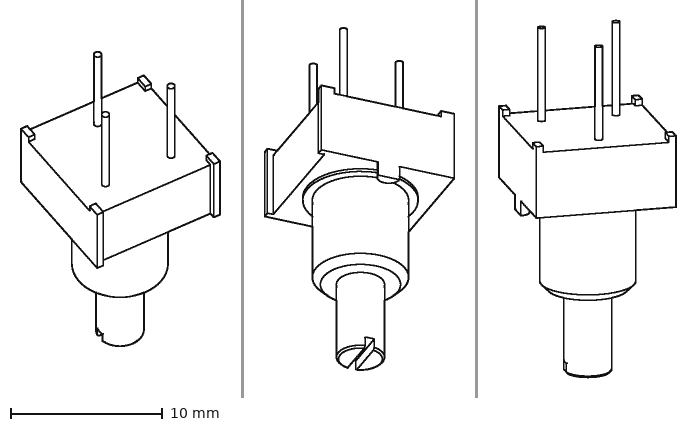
import cadquery as cq

total_height = 23.18

housing_width = 9.53
housing_offset_x = 0.07
housing_bottom = 12.29
housing_floor = 16.78
recess_depth = 0.42

standoff_length = 0.95
standoff_width = 0.49
standoff_height = 0.42

pin_diameter = 0.5
pin_pitch = 5.08
single_pin_x = -2.78

flange_diameter = 7.6
flange_thickness = 0.2
bushing_diameter = 6.35
bushing_bottom = 5.68
bushing_chamfer = 0.53

shaft_diameter = bushing_diameter / 2
shaft_chamfer = 0.15
slot_width = 0.65
slot_depth = 0.76

key_depth = 0.76
key_height = 1.0

housing_half = housing_width / 2
housing_right = housing_offset_x + housing_half


def make_housing():
    height = housing_floor - housing_bottom
    block = (
        cq.Workplane("XY", origin=(housing_offset_x, 0, housing_bottom))
        .rect(housing_width, housing_width)
        .extrude(height)
    )
    standoffs = (
        cq.Workplane("XY", origin=(housing_offset_x, 0, housing_floor))
        .rect(housing_width - standoff_length, housing_width - standoff_width, forConstruction=True)
        .vertices()
        .rect(standoff_length, standoff_width)
        .extrude(standoff_height)
    )
    recess = (
        cq.Workplane("XY", origin=(housing_right, 0, housing_bottom))
        .rect(2 * recess_depth, housing_width - 2 * standoff_width)
        .extrude(height)
    )
    return block.cut(recess).union(standoffs)


def make_pins():
    positions = [
        (single_pin_x, 0),
        (single_pin_x + pin_pitch, pin_pitch / 2),
        (single_pin_x + pin_pitch, -pin_pitch / 2),
    ]
    return (
        cq.Workplane("XY", origin=(0, 0, housing_floor))
        .pushPoints(positions)
        .circle(pin_diameter / 2)
        .extrude(total_height - housing_floor)
    )


def make_cylinder(diameter, bottom, top):
    return cq.Workplane("XY", origin=(0, 0, bottom)).circle(diameter / 2).extrude(top - bottom)


def make_bushing():
    flange = make_cylinder(flange_diameter, housing_bottom - flange_thickness, housing_bottom)
    barrel = make_cylinder(bushing_diameter, bushing_bottom, housing_bottom)
    return barrel.faces("<Z").chamfer(bushing_chamfer).union(flange)


def make_shaft():
    shaft = make_cylinder(shaft_diameter, 0, bushing_bottom).faces("<Z").chamfer(shaft_chamfer)
    slot = cq.Workplane("XY").rect(slot_width, shaft_diameter).extrude(slot_depth)
    return shaft.cut(slot)


def make_key():
    return (
        cq.Workplane("XY", origin=(0, housing_half, housing_bottom))
        .moveTo(-key_depth, 0)
        .threePointArc((0, -key_depth), (key_depth, 0))
        .close()
        .extrude(-key_height)
    )


result = make_housing()
for feature in (make_pins(), make_bushing(), make_shaft(), make_key()):
    result = result.union(feature)